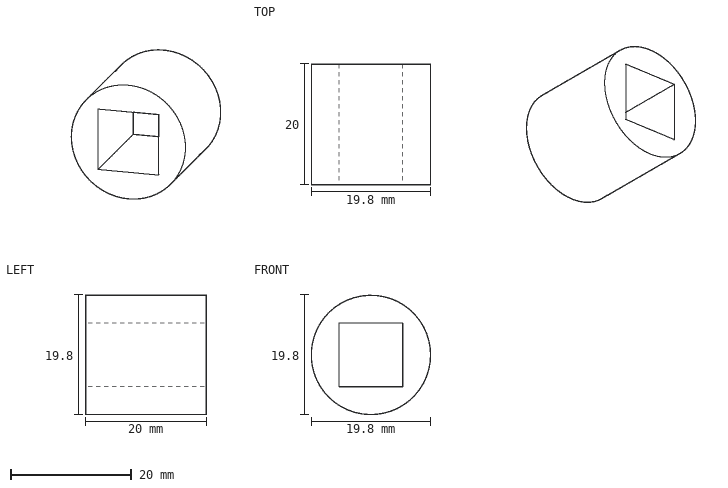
import cadquery as cq

outer_diameter = 19.8
length = 20.0
square_side = 10.5

end_plane = cq.Workplane("XZ", origin=(0, length / 2, 0))


def sleeve_body():
    """Round body centred on the origin, with its axis along Y."""
    return end_plane.circle(outer_diameter / 2).extrude(length)


def square_bore():
    """Square prism that runs the full length of the body, sides parallel to X and Z."""
    return end_plane.rect(square_side, square_side).extrude(length)


result = sleeve_body().cut(square_bore())